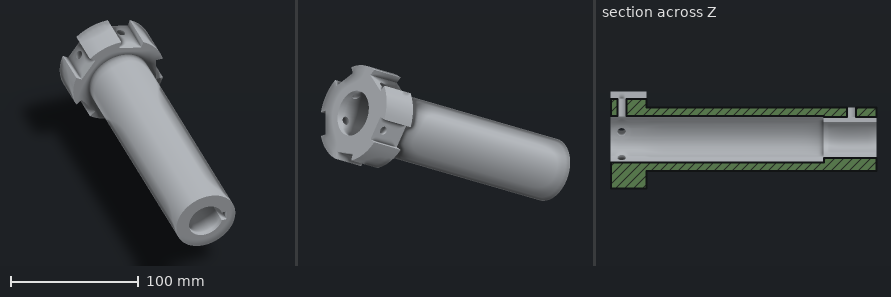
import cadquery as cq

total_length = 208.0
shaft_diameter = 50.0
head_diameter = 77.0
head_length = 28.0

wide_bore_diameter = 36.0
narrow_bore_diameter = 28.3
narrow_bore_length = 41.5

notch_count = 5
notch_width = 19.5
notch_floor_radius = 31.6
notch_hole_diameter = 6.7
notch_hole_x = 8.7

keyway_width = 8.1
keyway_floor_radius = 17.5
set_screw_diameter = 6.7
set_screw_end_distance = 20.0
set_screw_x = total_length - set_screw_end_distance


def cylinder_along_x(diameter, start_x, length):
    """Cylinder on the shaft axis."""
    return cq.Workplane("YZ", origin=(start_x, 0, 0)).circle(diameter / 2).extrude(length)


def radial_hole(diameter, x):
    """Cylinder from the shaft axis outward along +Y, past the head rim."""
    start = cq.Vector(x, 0, 0)
    outward = cq.Vector(0, 1, 0)
    return cq.Workplane(cq.Solid.makeCylinder(diameter / 2, head_diameter, start, outward))


def notch_cutter():
    """Notch on the +Y side of the head together with its screw hole."""
    notch = cq.Workplane().box(
        head_length, head_diameter, notch_width, centered=(False, False, True)
    )
    notch = notch.translate((0, notch_floor_radius, 0))
    return notch.union(radial_hole(notch_hole_diameter, notch_hole_x))


def keyway_cutter():
    """Slot from the shaft axis to the keyway floor on the +Y side."""
    slot = cq.Workplane().box(
        narrow_bore_length, keyway_floor_radius, keyway_width, centered=(False, False, True)
    )
    return slot.translate((total_length - narrow_bore_length, 0, 0))


body = cylinder_along_x(shaft_diameter, 0, total_length)
body = body.union(cylinder_along_x(head_diameter, 0, head_length))

body = body.cut(cylinder_along_x(wide_bore_diameter, 0, total_length - narrow_bore_length))
body = body.cut(cylinder_along_x(narrow_bore_diameter, 0, total_length))

for index in range(notch_count):
    angle = index * 360 / notch_count
    body = body.cut(notch_cutter().rotate((0, 0, 0), (1, 0, 0), angle))

body = body.cut(keyway_cutter())
body = body.cut(radial_hole(set_screw_diameter, set_screw_x))

result = body